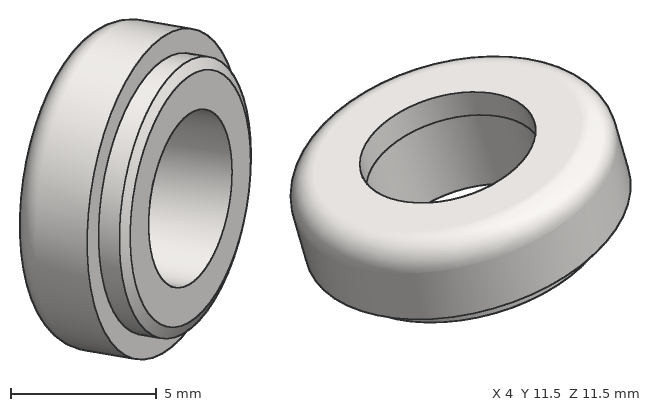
import cadquery as cq

outer_diameter = 11.5
housing_length = 3.0
edge_radius = 1.0
end_wall = 1.0

insert_diameter = 9.8
insert_protrusion = 1.0
chamfer_length = 0.2
chamfer_depth = 0.43

bore_diameter = 6.2

total_length = housing_length + insert_protrusion
insert_length = total_length - end_wall
start_x = -total_length / 2


def cylinder(diameter, length, x):
    """Cylinder along +X, starting at position x."""
    return cq.Workplane("YZ", origin=(x, 0, 0)).circle(diameter / 2).extrude(length)


def make_housing():
    """Cap with a rounded outer edge, a recess for the insert and a bored end wall."""
    body = cylinder(outer_diameter, housing_length, start_x).faces("<X").edges().fillet(edge_radius)
    recess = cylinder(insert_diameter, housing_length - end_wall, start_x + end_wall)
    bore = cylinder(bore_diameter, end_wall, start_x)
    return body.cut(recess).cut(bore)


def make_insert():
    """Ring with a steep chamfer on its exposed end, revolved about the X axis."""
    inner_radius = bore_diameter / 2
    outer_radius = insert_diameter / 2
    seat_x = start_x + end_wall
    end_x = seat_x + insert_length
    profile = (
        cq.Workplane("XY")
        .moveTo(seat_x, inner_radius)
        .lineTo(seat_x, outer_radius)
        .lineTo(end_x - chamfer_length, outer_radius)
        .lineTo(end_x, outer_radius - chamfer_depth)
        .lineTo(end_x, inner_radius)
        .close()
    )
    return profile.revolve(360, (0, 0, 0), (1, 0, 0))


housing = make_housing()
insert = make_insert()

result = cq.Compound.makeCompound([housing.val(), insert.val()])